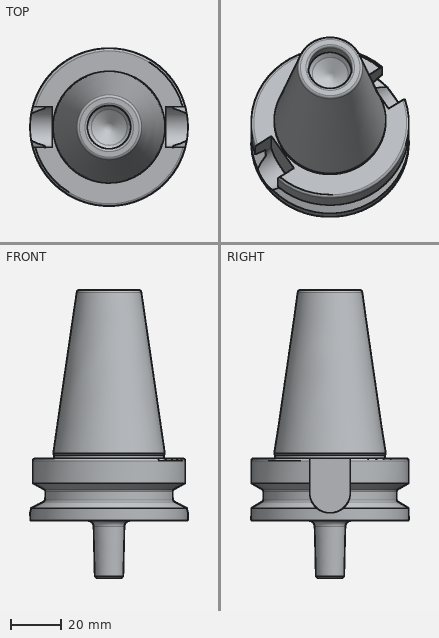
import cadquery as cq
import math

total_height = 114.9
flange_bottom = 22.9
flange_top = 47.8
taper_base = 49.8
groove_middle = 33.0
groove_mouth = 9.9
groove_floor = 4.4
groove_fillet = 0.9
select_margin = 0.1

flange_radius = 31.5
groove_radius = 26.7
flange_bottom_edge = 0.7
flange_top_edge = 1.0

taper_radius = 22.3
taper_slope = 7 / 48
neck_radius = 22.0
neck_height = 1.3
taper_end_edge = 0.9
taper_end_radius = taper_radius - taper_slope * (total_height - taper_base)

pin_root_radius = 6.2
pin_tip_radius = 5.7
pin_edge = 0.9
pin_fillet = 2.1

bore_radius = 8.6
bore_depth = 6.8
bore_edge = 1.0
point_radius = 7.1
step_width = bore_radius - point_radius
drill_half_angle = 59

slot_width = 16.2
slot_bottom = 26.1
slot_floor_x = 22.6


def make_body():
    """Revolve the outer outline of taper, flange and pin about Z."""
    fillet_diagonal = pin_fillet * (1 - math.sqrt(0.5))
    body = (
        cq.Workplane("XZ")
        .moveTo(0, 0)
        .lineTo(pin_tip_radius - pin_edge, 0)
        .lineTo(pin_tip_radius, pin_edge)
        .lineTo(pin_root_radius, flange_bottom - pin_fillet)
        .threePointArc(
            (pin_root_radius + fillet_diagonal, flange_bottom - fillet_diagonal),
            (pin_root_radius + pin_fillet, flange_bottom),
        )
        .lineTo(flange_radius - flange_bottom_edge, flange_bottom)
        .tangentArcPoint((flange_radius, flange_bottom + flange_bottom_edge), relative=False)
        .lineTo(flange_radius, groove_middle - groove_mouth / 2)
        .lineTo(groove_radius, groove_middle - groove_floor / 2)
        .lineTo(groove_radius, groove_middle + groove_floor / 2)
        .lineTo(flange_radius, groove_middle + groove_mouth / 2)
        .lineTo(flange_radius, flange_top - flange_top_edge)
        .tangentArcPoint((flange_radius - flange_top_edge, flange_top), relative=False)
        .lineTo(neck_radius, flange_top)
        .lineTo(neck_radius, flange_top + neck_height)
        .lineTo(taper_radius, taper_base)
        .lineTo(taper_end_radius + taper_slope * taper_end_edge, total_height - taper_end_edge)
        .tangentArcPoint((taper_end_radius - taper_end_edge, total_height), relative=False)
        .lineTo(0, total_height)
        .close()
        .revolve(360, (0, 0), (0, 1))
    )
    groove_corners = cq.selectors.BoxSelector(
        (-flange_radius, -flange_radius, groove_middle - groove_floor / 2 - select_margin),
        (flange_radius, flange_radius, groove_middle + groove_floor / 2 + select_margin),
        boundingbox=True,
    )
    return body.edges(groove_corners).edges("%CIRCLE").fillet(groove_fillet)


def make_bore():
    """Bore with a rounded mouth, a 45 degree step and a conical drill point."""
    step_top = total_height - bore_depth
    mouth_diagonal = bore_edge * (1 - math.sqrt(0.5))
    point_depth = point_radius / math.tan(math.radians(drill_half_angle))
    return (
        cq.Workplane("XZ")
        .moveTo(0, total_height)
        .lineTo(bore_radius + bore_edge, total_height)
        .threePointArc(
            (bore_radius + mouth_diagonal, total_height - mouth_diagonal),
            (bore_radius, total_height - bore_edge),
        )
        .lineTo(bore_radius, step_top)
        .lineTo(point_radius, step_top - step_width)
        .lineTo(0, step_top - step_width - point_depth)
        .close()
        .revolve(360, (0, 0), (0, 1))
    )


def make_drive_slot(side):
    """Round-bottomed slot, open at the flange top, on the +X (1) or -X (-1) side."""
    half_width = slot_width / 2
    cut_depth = flange_radius - slot_floor_x
    return (
        cq.Workplane("YZ", origin=(side * slot_floor_x, 0, 0))
        .moveTo(-half_width, flange_top)
        .lineTo(-half_width, slot_bottom + half_width)
        .threePointArc((0, slot_bottom), (half_width, slot_bottom + half_width))
        .lineTo(half_width, flange_top)
        .close()
        .extrude(side * cut_depth)
    )


result = make_body().cut(make_bore())
for side in (-1, 1):
    result = result.cut(make_drive_slot(side))